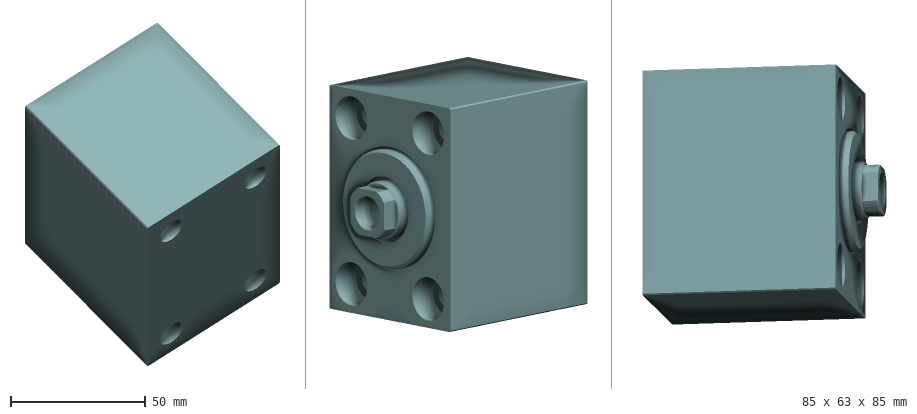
import cadquery as cq
import math


block_length = 73.0
block_width = 63.0
block_height = 85.0
block_chamfer = 0.5

bolt_spacing_y = 40.0
bolt_spacing_z = 63.0
bolt_hole_diameter = 10.5
counterbore_diameter = 16.5
counterbore_depth = 11.0

gland_diameter = 45.0
gland_projection = 3.0
gland_seat_depth = 20.0
gland_chamfer_radial = 1.0
gland_chamfer_axial = 1.2
bore_lip_chamfer = 1.0
wiper_groove_diameter = 25.2
wiper_groove_depth = 3.0

rod_diameter = 22.0
rod_shoulder_x = -6.0
rod_shoulder_chamfer = 0.7
nose_length = 5.95
nose_diameter = rod_diameter - 2 * rod_shoulder_chamfer
nose_chamfer = 0.4
nose_across_flats = 17.6
rod_hole_diameter = 12.3
rod_hole_depth = 20.0
rod_hole_lip = 0.3
drill_point_angle = 118.0


def axial_cylinder(diameter, start_x, end_x):
    """Solid cylinder on the X axis between two x positions."""
    return cq.Workplane("YZ", origin=(start_x, 0, 0)).circle(diameter / 2).extrude(end_x - start_x)


def revolved(profile):
    """Solid of revolution about X from a closed list of (x, radius) points."""
    return cq.Workplane("XY").polyline(profile).close().revolve(360, (0, 0, 0), (1, 0, 0))


def make_block():
    block = cq.Workplane("XY").box(block_length, block_width, block_height)
    block = block.translate((block_length / 2, 0, 0)).edges("|X").chamfer(block_chamfer)

    bore_radius = gland_diameter / 2
    bore = revolved([
        (0, 0),
        (0, bore_radius + bore_lip_chamfer),
        (bore_lip_chamfer, bore_radius),
        (gland_seat_depth, bore_radius),
        (gland_seat_depth, 0),
    ])
    block = block.cut(bore)

    for side_y in (-1, 1):
        for side_z in (-1, 1):
            place = (0, side_y * bolt_spacing_y / 2, side_z * bolt_spacing_z / 2)
            block = block.cut(axial_cylinder(bolt_hole_diameter, 0, block_length).translate(place))
            block = block.cut(axial_cylinder(counterbore_diameter, 0, counterbore_depth).translate(place))
    return block


def make_gland():
    front_x = -gland_projection
    outer_radius = gland_diameter / 2
    rod_radius = rod_diameter / 2
    groove_radius = wiper_groove_diameter / 2
    groove_floor_x = front_x + wiper_groove_depth
    return revolved([
        (front_x, groove_radius),
        (front_x, outer_radius - gland_chamfer_radial),
        (front_x + gland_chamfer_axial, outer_radius),
        (gland_seat_depth, outer_radius),
        (gland_seat_depth, rod_radius),
        (groove_floor_x, rod_radius),
        (groove_floor_x, groove_radius),
    ])


def make_rod():
    tip_x = rod_shoulder_x - nose_length

    nose = axial_cylinder(nose_diameter, tip_x, rod_shoulder_x).faces("<X").chamfer(nose_chamfer)
    flats = cq.Workplane("YZ", origin=(tip_x, 0, 0)).rect(nose_across_flats, nose_across_flats)
    nose = nose.intersect(flats.extrude(nose_length))

    shaft = axial_cylinder(rod_diameter, rod_shoulder_x, gland_seat_depth)
    shaft = shaft.faces("<X").chamfer(rod_shoulder_chamfer)

    hole_radius = rod_hole_diameter / 2
    hole_end_x = tip_x + rod_hole_depth
    point_length = hole_radius / math.tan(math.radians(drill_point_angle / 2))
    hole = revolved([
        (tip_x, 0),
        (tip_x, hole_radius + rod_hole_lip),
        (tip_x + rod_hole_lip, hole_radius),
        (hole_end_x, hole_radius),
        (hole_end_x + point_length, 0),
    ])
    return shaft.union(nose).cut(hole)


block = make_block()
gland = make_gland()
rod = make_rod()

result = cq.Compound.makeCompound([block.val(), gland.val(), rod.val()])